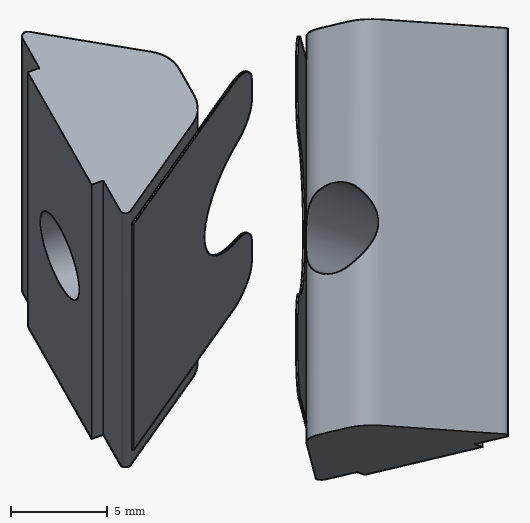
import cadquery as cq
import math

length = 22.0
width = 12.91
body_depth = 7.25
key_width = 8.03
key_height = 0.65
flank_angle = math.radians(54)
edge_radius = 0.3
crest_radius = 2.0
hole_diameter = 4.9

overall_depth = 11.4
leaf_thickness = 0.1
leaf_width = 19.55
leaf_setback = 0.1
lobe_radius = 1.98
notch_radius = 4.31
notch_inset = 0.68

flank_cos = math.cos(flank_angle)
flank_sin = math.sin(flank_angle)

flank_x = width / 2 - edge_radius + edge_radius * flank_sin
flank_y = key_height + edge_radius + edge_radius * flank_cos


def make_body():
    """Bar with rounded flank edges, front key and through hole."""
    corner_half = flank_x + (flank_y - key_height) / math.tan(flank_angle)
    crest_half = flank_x - (body_depth - flank_y) / math.tan(flank_angle)
    bar = (
        cq.Workplane("XY")
        .polyline([
            (-corner_half, key_height),
            (corner_half, key_height),
            (crest_half, body_depth),
            (-crest_half, body_depth),
        ])
        .close()
        .extrude(length / 2, both=True)
    )
    bar = bar.edges("|Z and <Y").fillet(edge_radius)
    for side in (-1, 1):
        crest_edge = cq.selectors.NearestToPointSelector((side * crest_half, body_depth, 0))
        bar = bar.edges("|Z").edges(crest_edge).fillet(crest_radius)
    key = cq.Workplane("XY").box(key_width, body_depth / 2, length, centered=(True, False, True))
    hole = cq.Workplane("XZ").circle(hole_diameter / 2).extrude(-body_depth)
    return bar.union(key).cut(hole)


def make_leaf():
    """Thin plate on the flank, with a round notch between two rounded lobes."""
    free_end = (overall_depth - flank_y - leaf_thickness * flank_cos) / flank_sin
    half_width = leaf_width / 2
    notch_center = free_end - notch_inset
    lobe_center = free_end - lobe_radius

    center_distance = notch_radius + lobe_radius
    along = lobe_center - notch_center
    across = math.sqrt(center_distance**2 - along**2)
    tangent_share = notch_radius / center_distance
    tangent = (notch_center + tangent_share * along, tangent_share * across)

    tangent_angle = math.atan2(-across, -along)
    middle_angle = tangent_angle / 2
    inner_middle = (
        lobe_center + lobe_radius * math.cos(middle_angle),
        across + lobe_radius * math.sin(middle_angle),
    )
    outer_offset = lobe_radius * math.sqrt(0.5)
    outer_start = half_width - lobe_radius
    outer_middle = (lobe_center + outer_offset, outer_start + outer_offset)

    def mirrored(point):
        return point[0], -point[1]

    flank = cq.Plane(
        origin=(flank_x, flank_y, 0),
        xDir=(-flank_cos, flank_sin, 0),
        normal=(flank_sin, flank_cos, 0),
    )
    return (
        cq.Workplane(flank)
        .moveTo(leaf_setback, -half_width)
        .lineTo(lobe_center, -half_width)
        .threePointArc(mirrored(outer_middle), (free_end, -outer_start))
        .lineTo(free_end, -across)
        .threePointArc(mirrored(inner_middle), mirrored(tangent))
        .threePointArc((notch_center - notch_radius, 0), tangent)
        .threePointArc(inner_middle, (free_end, across))
        .lineTo(free_end, outer_start)
        .threePointArc(outer_middle, (lobe_center, half_width))
        .lineTo(leaf_setback, half_width)
        .close()
        .extrude(leaf_thickness)
    )


result = make_body().union(make_leaf())